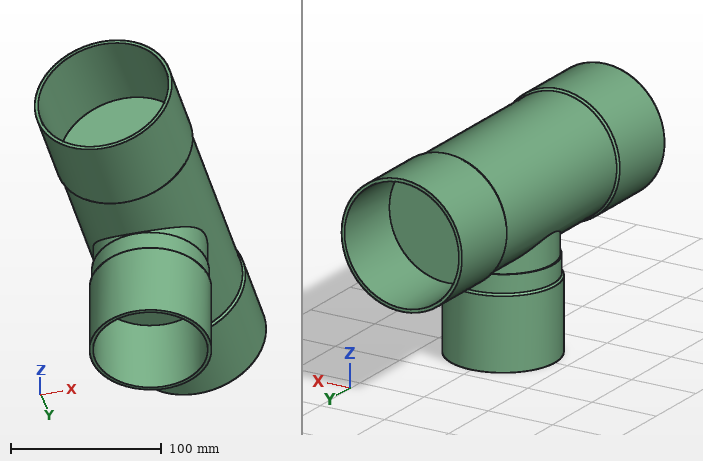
import cadquery as cq

run_length = 256
run_diameter = 91.0
run_socket_diameter = 94.0
run_bore_diameter = 89.0
run_socket_length = 56.5
run_shoulder_length = 1.5

overall_height = 163.0
neck_diameter = 76.0
collar_diameter = 78.0
branch_socket_diameter = 81.0
branch_bore_diameter = 76.0
branch_socket_length = 54.3
branch_shoulder_length = 1.5

collar_top_z = -run_socket_diameter / 2
branch_end_z = run_socket_diameter / 2 - overall_height


def socket_end(mouth, socket_diameter, length, shoulder_length, pipe_diameter):
    """Solid socket growing from its mouth plane, tapering down to the pipe."""
    cylinder = mouth.circle(socket_diameter / 2).extrude(length)
    shoulder = (
        mouth.workplane(offset=length)
        .circle(socket_diameter / 2)
        .workplane(offset=shoulder_length)
        .circle(pipe_diameter / 2)
        .loft(ruled=True)
    )
    return cylinder.union(shoulder)


def blind_bore(mouth, diameter, depth):
    """Flat-bottomed bore cutter starting at a socket mouth."""
    return mouth.circle(diameter / 2).extrude(depth)


def mouth_plane(origin, inward):
    """Plane at a socket mouth whose normal points into the part."""
    return cq.Workplane(cq.Plane(origin=origin, xDir=(1, 0, 0), normal=inward))


run_mouths = [
    mouth_plane((0, -run_length / 2, 0), (0, 1, 0)),
    mouth_plane((0, run_length / 2, 0), (0, -1, 0)),
]
branch_mouth = mouth_plane((0, 0, branch_end_z), (0, 0, 1))

result = run_mouths[0].circle(run_diameter / 2).extrude(run_length)
for mouth in run_mouths:
    result = result.union(
        socket_end(mouth, run_socket_diameter, run_socket_length, run_shoulder_length, run_diameter)
    )

neck = branch_mouth.circle(neck_diameter / 2).extrude(-branch_end_z)
collar = branch_mouth.circle(collar_diameter / 2).extrude(collar_top_z - branch_end_z)
branch_socket = socket_end(
    branch_mouth, branch_socket_diameter, branch_socket_length, branch_shoulder_length, collar_diameter
)
result = result.union(neck).union(collar).union(branch_socket)

for mouth in run_mouths:
    result = result.cut(blind_bore(mouth, run_bore_diameter, run_socket_length))
result = result.cut(blind_bore(branch_mouth, branch_bore_diameter, branch_socket_length))